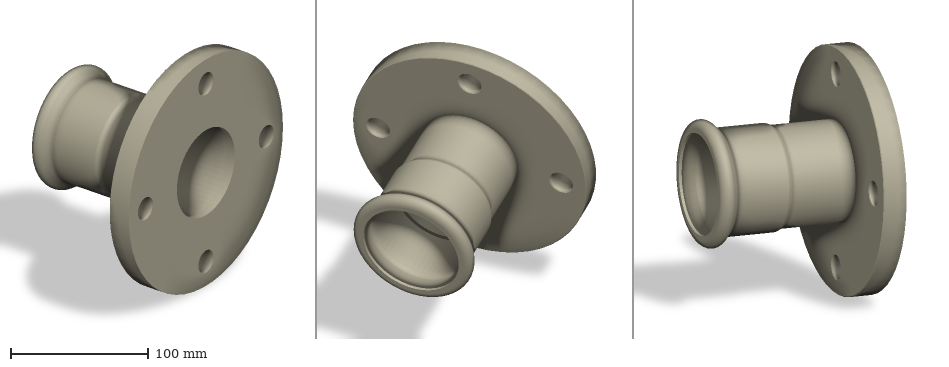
import cadquery as cq
import math

length = 126.0
flange_radius = 92.5
flange_thickness = 18.0
flange_chamfer = 0.5
flange_face = length - flange_thickness

bolt_count = 4
bolt_circle_radius = 72.5
bolt_hole_diameter = 18.0
bolt_hole_chamfer = 0.5
bolt_hole_chamfer_angle = 90

tube_radius = 76.0 / 2
bore_radius = 34.8

socket_radius = 80.1 / 2
socket_wall = 2.2
socket_bore_radius = socket_radius - socket_wall
socket_depth = 56.0
neck_start = 55.3
neck_end = 59.2
neck_blend_radius = 2.2
neck_overlap_start = socket_depth / 2

bead_radius = 6.0
bead_outer_radius = 47.4
bead_center_radius = bead_outer_radius - bead_radius
bead_cone_angle = math.radians(45)
bead_blend_radius = 2.2

edge_tolerance = 0.2


def ring_at(x):
    """Selector for the circular edge around the axis at position x."""
    return cq.selectors.BoxSelector(
        (x - edge_tolerance, -flange_radius, -flange_radius),
        (x + edge_tolerance, flange_radius, flange_radius),
        boundingbox=True,
    )


def bead_point(arc_radius, angle):
    """Point on an arc about the bead center, with the angle measured from the +X direction."""
    return (
        bead_radius + arc_radius * math.cos(angle),
        bead_center_radius + arc_radius * math.sin(angle),
    )


def bead_and_socket(inset, socket_end):
    """Solid of revolution bounded by the bead and socket surfaces moved inward by inset."""
    arc_radius = bead_radius - inset
    end_radius = socket_radius - inset
    cone_start = bead_point(arc_radius, bead_cone_angle)
    cone_length = (cone_start[1] - end_radius) / math.tan(bead_cone_angle)
    cone_end = cone_start[0] + cone_length
    arc_middle_angle = (math.pi + bead_cone_angle) / 2
    solid = (
        cq.Workplane("XY")
        .moveTo(inset, 0)
        .lineTo(inset, bead_center_radius)
        .threePointArc(bead_point(arc_radius, arc_middle_angle), cone_start)
        .lineTo(cone_end, end_radius)
        .lineTo(socket_end, end_radius)
        .lineTo(socket_end, 0)
        .close()
        .revolve(360, (0, 0, 0), (1, 0, 0))
    )
    return solid.edges(ring_at(cone_end)).fillet(bead_blend_radius + inset)


def neck_and_tube():
    """Tube with a blended conical neck leading up to the socket diameter."""
    solid = (
        cq.Workplane("XY")
        .moveTo(neck_overlap_start, 0)
        .lineTo(neck_overlap_start, socket_radius)
        .lineTo(neck_start, socket_radius)
        .lineTo(neck_end, tube_radius)
        .lineTo(length, tube_radius)
        .lineTo(length, 0)
        .close()
        .revolve(360, (0, 0, 0), (1, 0, 0))
    )
    for x in (neck_start, neck_end):
        solid = solid.edges(ring_at(x)).fillet(neck_blend_radius)
    return solid


def flange():
    """Round flange with a chamfered front edge and chamfered bolt holes."""
    disc = (
        cq.Workplane("YZ", origin=(flange_face, 0, 0))
        .circle(flange_radius)
        .extrude(flange_thickness)
        .faces("<X")
        .chamfer(flange_chamfer)
    )
    return (
        disc.faces("<X")
        .workplane(centerOption="CenterOfBoundBox")
        .polarArray(bolt_circle_radius, 0, 360, bolt_count)
        .cskHole(bolt_hole_diameter, bolt_hole_diameter + 2 * bolt_hole_chamfer, bolt_hole_chamfer_angle)
    )


def cylinder(radius, start, end):
    """Cylinder on the axis between two positions along X."""
    return cq.Workplane("YZ", origin=(start, 0, 0)).circle(radius).extrude(end - start)


body = bead_and_socket(0, neck_overlap_start).union(neck_and_tube()).union(flange()).clean()
body = body.cut(cylinder(bore_radius, 0, length))
body = body.cut(cylinder(socket_bore_radius, 0, socket_depth))
result = body.cut(bead_and_socket(socket_wall, socket_depth))